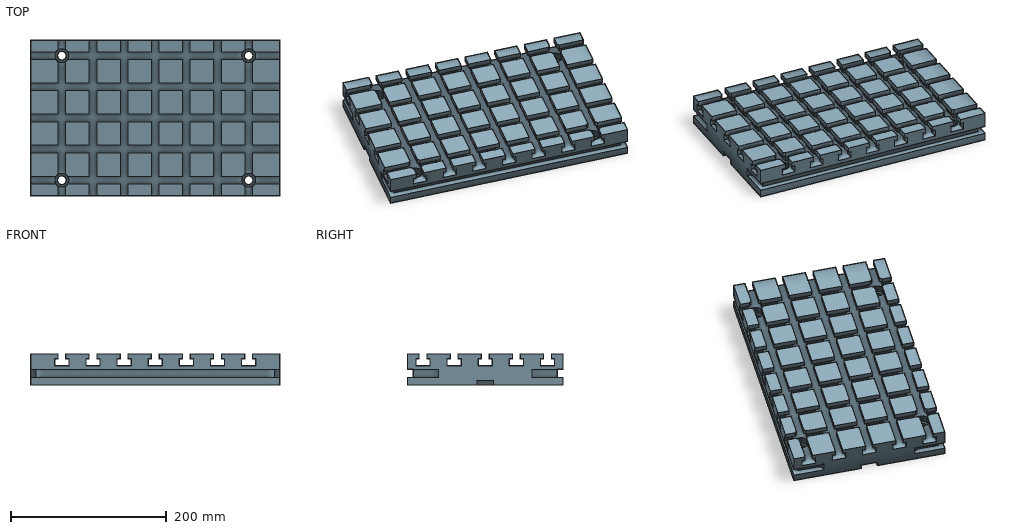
import cadquery as cq
import math

length = 320.0
width = 200.0
height = 40.0

slot_pitch = 40.0
slots_along_x = 5
slots_along_y = 7
neck_width = 10.0
neck_depth = 6.5
tee_width = 18.0
slot_depth = 15.0

groove_top_depth = 20.0
groove_bottom = 10.0
long_side_groove_depth = 7.5
end_groove_depth = 7.0
end_groove_length = 40.0

keyway_width = 21.0
keyway_depth = 6.0
keyway_length = 38.5

hole_diameter = 11.0
counterbore_diameter = 18.0
counterbore_below_slot = 10.0


def slot_positions(count):
    """Evenly pitched slot centres, symmetric about the plate centre."""
    return [slot_pitch * (i - (count - 1) / 2) for i in range(count)]


def block(x_size, y_size, bottom, top):
    """Box centred on the Z axis between two heights."""
    return cq.Workplane("XY").workplane(offset=bottom).rect(x_size, y_size).extrude(top - bottom)


def tee_slot(x_size_neck, y_size_neck, x_size_tee, y_size_tee):
    """Straight T-slot cutter: a narrow neck above a wider tee."""
    floor = height - slot_depth
    neck = block(x_size_neck, y_size_neck, floor, height)
    tee = block(x_size_tee, y_size_tee, floor, height - neck_depth)
    return neck.union(tee)


def side_groove():
    """Groove along one long side that turns both corners and runs out through the ends."""
    half_length = length / 2
    outer_y = -width / 2
    inner_y = outer_y + long_side_groove_depth
    runout_y = outer_y + end_groove_length
    wall_x = half_length - end_groove_depth
    arc_start_y = runout_y - end_groove_depth
    arc_offset = end_groove_depth * math.sqrt(0.5)
    arc_mid_x = half_length - arc_offset
    arc_mid_y = arc_start_y + arc_offset
    return (
        cq.Workplane("XY")
        .workplane(offset=groove_bottom)
        .moveTo(-half_length, outer_y)
        .lineTo(half_length, outer_y)
        .lineTo(half_length, runout_y)
        .threePointArc((arc_mid_x, arc_mid_y), (wall_x, arc_start_y))
        .lineTo(wall_x, inner_y)
        .lineTo(-wall_x, inner_y)
        .lineTo(-wall_x, arc_start_y)
        .threePointArc((-arc_mid_x, arc_mid_y), (-half_length, runout_y))
        .close()
        .extrude(height - groove_top_depth - groove_bottom)
    )


plate = block(length, width, 0, height)

groove = side_groove()
plate = plate.cut(groove).cut(groove.mirror("XZ"))
keyway = block(keyway_length, keyway_width, 0, keyway_depth)
for side in (-1, 1):
    plate = plate.cut(keyway.translate((side * (length - keyway_length) / 2, 0, 0)))

slot_along_x = tee_slot(length, neck_width, length, tee_width)
slot_along_y = tee_slot(neck_width, width, tee_width, width)
row_positions = slot_positions(slots_along_x)
column_positions = slot_positions(slots_along_y)
for y in row_positions:
    plate = plate.cut(slot_along_x.translate((0, y, 0)))
for x in column_positions:
    plate = plate.cut(slot_along_y.translate((x, 0, 0)))

hole_points = [
    (x, y)
    for x in (column_positions[0], column_positions[-1])
    for y in (row_positions[0], row_positions[-1])
]
result = (
    plate.faces(">Z")
    .workplane(origin=(0, 0, height))
    .pushPoints(hole_points)
    .cboreHole(hole_diameter, counterbore_diameter, slot_depth + counterbore_below_slot)
)